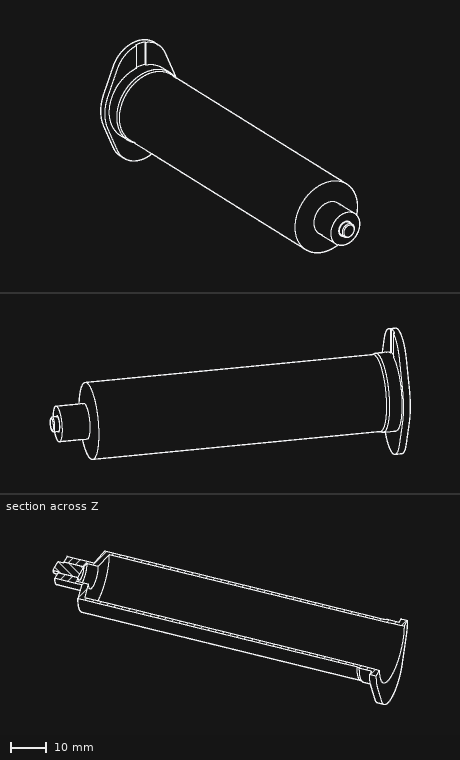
import cadquery as cq
import math

flange_thickness = 2.0
flange_half_width = 12.7
flange_half_height = 18.4
flange_end_radius = 9.1
notch_width = 3.2
notch_depth = 0.4

collar_radius = 11.2
collar_end = 5.7
barrel_radius = 10.9
barrel_start = 6.5
shoulder_x = 90.2
nozzle_start = 91.2
nozzle_radius = 5.0
nozzle_end = 99.3

mouth_radius = 10.0
mouth_end = 3.7
throat_radius = 9.9
bore_radius = 9.8
bore_start = 4.4
draft_start = 8.7
bore_end_radius = 9.7
funnel_start = 88.4
funnel_slope = 0.2
outlet_radius = 3.9
outlet_end = 92.9
pin_hole_radius = 2.3

tip_radius = 2.1
tip_end = 101.0
tip_chamfer = 0.3

funnel_end = funnel_start + funnel_slope * (bore_end_radius - outlet_radius)
pin_start = outlet_end + funnel_slope * (outlet_radius - pin_hole_radius)


def revolved(profile):
    """Solid of revolution about the X axis from (x, radius) points that start and end on the axis."""
    return cq.Workplane("XZ").polyline(profile).close().revolve(360, (0, 0, 0), (1, 0, 0))


def flange_plate():
    """Oval of two wide side arcs and two end arcs, joined by their common tangent lines."""
    end_centre = flange_half_height - flange_end_radius
    tangent_angle = math.asin((flange_half_width - flange_end_radius) / end_centre)
    side_y = flange_half_width * math.cos(tangent_angle)
    side_z = flange_half_width * math.sin(tangent_angle)
    end_y = flange_end_radius * math.cos(tangent_angle)
    end_z = end_centre + flange_end_radius * math.sin(tangent_angle)
    return (
        cq.Workplane("YZ")
        .moveTo(side_y, -side_z)
        .threePointArc((flange_half_width, 0), (side_y, side_z))
        .lineTo(end_y, end_z)
        .threePointArc((0, flange_half_height), (-end_y, end_z))
        .lineTo(-side_y, side_z)
        .threePointArc((-flange_half_width, 0), (-side_y, -side_z))
        .lineTo(-end_y, -end_z)
        .threePointArc((0, -flange_half_height), (end_y, -end_z))
        .close()
        .extrude(flange_thickness)
    )


def flange_notch():
    """Shallow upright groove in the back of the flange, from the collar to the top edge."""
    groove = cq.Workplane("XY").box(
        notch_depth, notch_width, flange_half_height, centered=(False, True, False)
    )
    return groove.translate((flange_thickness - notch_depth, 0, 0))


def barrel_outside():
    return revolved([
        (0, 0),
        (0, collar_radius),
        (collar_end, collar_radius),
        (barrel_start, barrel_radius),
        (shoulder_x, barrel_radius),
        (nozzle_start, nozzle_radius),
        (nozzle_end, nozzle_radius),
        (nozzle_end, 0),
    ])


def barrel_inside():
    """Tapered mouth, drafted bore, end funnel, outlet and the hole that holds the pin."""
    return revolved([
        (0, 0),
        (0, mouth_radius),
        (mouth_end, throat_radius),
        (bore_start, bore_radius),
        (draft_start, bore_radius),
        (funnel_start, bore_end_radius),
        (funnel_end, outlet_radius),
        (outlet_end, outlet_radius),
        (pin_start, pin_hole_radius),
        (nozzle_end, pin_hole_radius),
        (nozzle_end, 0),
    ])


def make_barrel():
    return flange_plate().cut(flange_notch()).union(barrel_outside()).cut(barrel_inside())


def make_pin():
    """Plug that fills the nozzle hole and ends in a thinner, chamfered tip."""
    return revolved([
        (pin_start, 0),
        (pin_start, pin_hole_radius),
        (nozzle_end, pin_hole_radius),
        (nozzle_end, tip_radius),
        (tip_end - tip_chamfer, tip_radius),
        (tip_end, tip_radius - tip_chamfer),
        (tip_end, 0),
    ])


barrel = make_barrel()
pin = make_pin()
result = cq.Compound.makeCompound([barrel.val(), pin.val()])